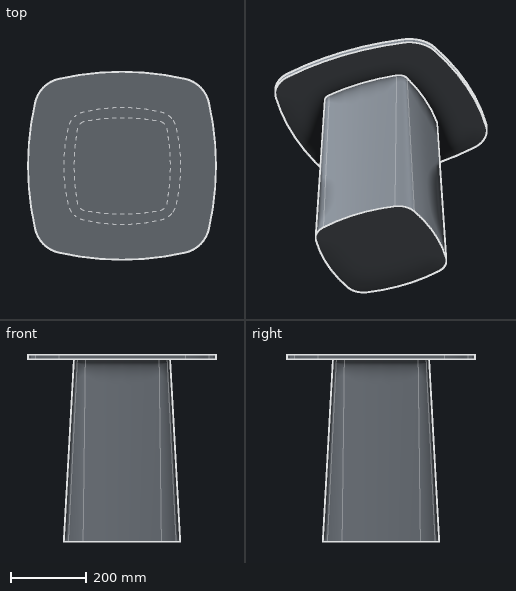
import cadquery as cq
import math

TOTAL_HEIGHT = 497.0

TOP_THICKNESS = 12.5
TOP_HALF_WIDTH = 250.0
TOP_SIDE_RADIUS = 749.5
TOP_SIDE_HALF_LENGTH = 168.0

PEDESTAL_HEIGHT = TOTAL_HEIGHT - TOP_THICKNESS
FOOT_HALF_WIDTH = 155.5
FOOT_SIDE_RADIUS = 439.5
FOOT_SIDE_HALF_LENGTH = 104.0
NECK_HALF_WIDTH = 128.0
NECK_SIDE_RADIUS = 549.5
NECK_SIDE_HALF_LENGTH = 98.0


def bowed_square(half_width, side_radius, side_half_length, height):
    """Closed wire of four bowed sides joined by tangent corner arcs."""
    angle = math.asin(side_half_length / side_radius)
    side_end = half_width - side_radius * (1 - math.cos(angle))
    corner_radius = (side_end - side_half_length) / (math.cos(angle) - math.sin(angle))
    corner_centre = side_half_length - corner_radius * math.sin(angle)
    corner_middle = corner_centre + corner_radius * math.sqrt(0.5)

    edges = []
    for quarter in range(4):
        turn = quarter * math.pi / 2

        def point(x, y):
            return cq.Vector(
                x * math.cos(turn) - y * math.sin(turn),
                x * math.sin(turn) + y * math.cos(turn),
                height,
            )

        side_start = point(side_end, -side_half_length)
        side_middle = point(half_width, 0)
        corner_start = point(side_end, side_half_length)
        corner_end = point(side_half_length, side_end)
        edges.append(cq.Edge.makeThreePointArc(side_start, side_middle, corner_start))
        edges.append(
            cq.Edge.makeThreePointArc(corner_start, point(corner_middle, corner_middle), corner_end)
        )
    return cq.Wire.assembleEdges(edges)


def make_pedestal():
    foot = bowed_square(FOOT_HALF_WIDTH, FOOT_SIDE_RADIUS, FOOT_SIDE_HALF_LENGTH, 0)
    neck = bowed_square(NECK_HALF_WIDTH, NECK_SIDE_RADIUS, NECK_SIDE_HALF_LENGTH, PEDESTAL_HEIGHT)
    return cq.Solid.makeLoft([foot, neck], True)


def make_table_top():
    outline = bowed_square(TOP_HALF_WIDTH, TOP_SIDE_RADIUS, TOP_SIDE_HALF_LENGTH, PEDESTAL_HEIGHT)
    return cq.Solid.extrudeLinear(outline, [], cq.Vector(0, 0, TOP_THICKNESS))


pedestal = make_pedestal()
table_top = make_table_top()

result = cq.Compound.makeCompound([pedestal, table_top])